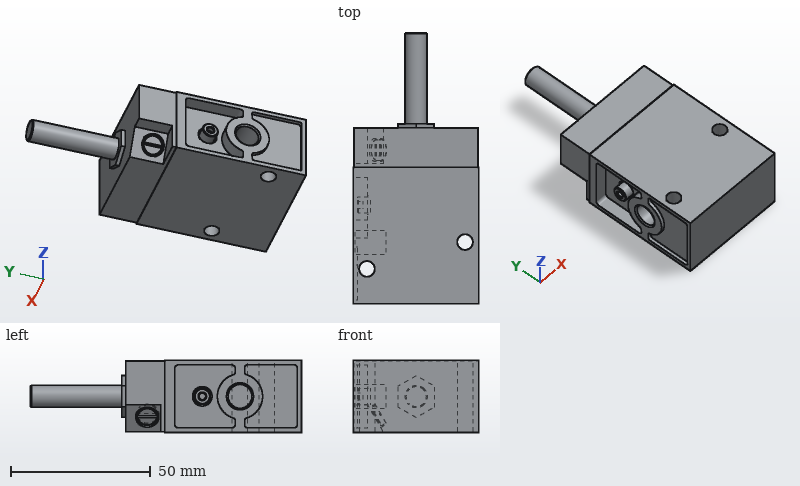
import cadquery as cq
import math

total_length = 97.0
body_width = 45.0
body_height = 26.0
body_length = 48.9
left_face = -body_width / 2

cap_inset = 0.3
cap_length = 14.1
cap_width = body_width - 2 * cap_inset
cap_height = body_height - 2 * cap_inset
cap_left_face = -cap_width / 2
cap_end = body_length + cap_length

collar_across_flats = 13.0
collar_length = 1.5
rod_diameter = 8.0
rod_end_chamfer = 0.4

mounting_hole_diameter = 5.5
mounting_hole_offset = 17.6
mounting_holes = [(-mounting_hole_offset, 12.5), (mounting_hole_offset, 22.1)]

port_y = 22.0
port_diameter = 8.5
port_mouth_diameter = 9.7
port_chamfer = (port_mouth_diameter - port_diameter) / 2
port_depth = 11.6
land_diameter = 16.2
rib_width = 3.3

pocket_height = 22.5
front_pocket_start = 1.6
front_pocket_depth = 1.5
rear_pocket_end = 45.4
rear_pocket_depth = 5.0
rear_floor = left_face + rear_pocket_depth
front_pocket_corner_radius = 1.0
rear_pocket_corner_radius = 1.3

pin_y = 35.5
pin_diameter = 5.8
pin_length = 3.5
pin_end_chamfer = 0.3
countersink_diameter = 7.0
countersink_depth = 1.2
pin_hole_diameter = 2.4
pin_hole_depth = 1.9
pin_hole_chamfer = 0.3

notch_start = 50.3
notch_top = -3.0
notch_tilt = 30.0
notch_ceiling_depth = 4.85
slope_top = cap_left_face + notch_ceiling_depth
screw_y = 55.2
screw_z = -7.5
screw_hole_diameter = 8.2
screw_head_diameter = 7.5
screw_head_chamfer = 0.4
screw_hole_depth = 2.4
screw_head_height = 2.1
slot_width = 0.9
slot_depth = 1.7


def block(x_size, y_start, y_end, z_size):
    """Block centred on X and Z, running from y_start to y_end."""
    return cq.Workplane("XZ", origin=(0, y_start, 0)).rect(x_size, z_size).extrude(y_start - y_end)


def left_cylinder(y, diameter, outer_x, length):
    """Cylinder along X at mid-height, running inward (+X) from outer_x."""
    return cq.Workplane("YZ", origin=(outer_x, y, 0)).circle(diameter / 2).extrude(length)


def left_cone(y, mouth_diameter, inner_diameter, outer_x, depth):
    """Cone along X at mid-height, going from mouth to inner diameter over depth."""
    return (
        cq.Workplane("YZ", origin=(outer_x, y, 0))
        .circle(mouth_diameter / 2)
        .workplane(offset=depth)
        .circle(inner_diameter / 2)
        .loft(combine=True)
    )


def pocket(y_start, y_end, depth, corner_radius):
    """Rounded pocket cutter in the left side, leaving the port land standing."""
    cutter = (
        cq.Workplane("YZ", origin=(left_face, (y_start + y_end) / 2, 0))
        .rect(y_end - y_start, pocket_height)
        .extrude(depth)
    )
    cutter = cutter.cut(left_cylinder(port_y, land_diameter, left_face, depth))
    return cutter.edges("|X").fillet(corner_radius)


def make_port():
    bore = left_cylinder(port_y, port_diameter, left_face, port_depth)
    return bore.union(left_cone(port_y, port_mouth_diameter, port_diameter, left_face, port_chamfer))


def make_pin():
    end_x = rear_floor - pin_length
    hole_mouth_diameter = pin_hole_diameter + 2 * pin_hole_chamfer
    pin = left_cylinder(pin_y, pin_diameter, end_x, pin_length + countersink_depth)
    pin = pin.faces("<X").chamfer(pin_end_chamfer)
    pin = pin.cut(left_cylinder(pin_y, pin_hole_diameter, end_x, pin_hole_depth))
    return pin.cut(left_cone(pin_y, hole_mouth_diameter, pin_hole_diameter, end_x, pin_hole_chamfer))


def make_collar():
    across_corners = collar_across_flats / math.cos(math.radians(30))
    return (
        cq.Workplane("XZ", origin=(0, cap_end, 0))
        .transformed(rotate=(0, 0, 90))
        .polygon(6, across_corners)
        .extrude(-collar_length)
    )


def make_rod():
    rod = cq.Workplane("XZ", origin=(0, cap_end, 0)).circle(rod_diameter / 2).extrude(cap_end - total_length)
    return rod.faces(">Y").chamfer(rod_end_chamfer)


def make_notch():
    drop = cap_height / 2 + notch_top
    run = drop * math.tan(math.radians(notch_tilt))
    return (
        cq.Workplane("XZ", origin=(0, notch_start, 0))
        .moveTo(cap_left_face, notch_top)
        .lineTo(slope_top, notch_top)
        .lineTo(slope_top + run, notch_top - drop)
        .lineTo(cap_left_face, notch_top - drop)
        .close()
        .extrude(notch_start - cap_end)
    )


def screw_plane(depth):
    """Plane square to the screw axis, at a depth below the sloping face."""
    tilt = math.radians(notch_tilt)
    screw_x = slope_top + (notch_top - screw_z) * math.tan(tilt)
    inward = (math.cos(tilt), 0, math.sin(tilt))
    origin = (screw_x + depth * inward[0], screw_y, screw_z + depth * inward[2])
    return cq.Workplane(cq.Plane(origin=origin, xDir=(0, 1, 0), normal=inward))


def make_screw_hole():
    return screw_plane(0).circle(screw_hole_diameter / 2).extrude(screw_hole_depth)


def make_screw_head():
    head = screw_plane(screw_hole_depth).circle(screw_head_diameter / 2).extrude(-screw_head_height)
    head_top = screw_plane(screw_hole_depth - screw_head_height)
    top_face = cq.selectors.NearestToPointSelector(head_top.plane.origin.toTuple())
    head = head.faces(top_face).chamfer(screw_head_chamfer)
    return head.cut(head_top.rect(screw_head_diameter, slot_width).extrude(slot_depth))


body = block(body_width, 0, body_length, body_height)
mounting_cutter = (
    cq.Workplane("XY")
    .pushPoints(mounting_holes)
    .circle(mounting_hole_diameter / 2)
    .extrude(body_height / 2, both=True)
)
body = body.cut(mounting_cutter)
front_pocket_end = port_y - rib_width / 2
rear_pocket_start = port_y + rib_width / 2
body = body.cut(pocket(front_pocket_start, front_pocket_end, front_pocket_depth, front_pocket_corner_radius))
body = body.cut(pocket(rear_pocket_start, rear_pocket_end, rear_pocket_depth, rear_pocket_corner_radius))
body = body.cut(left_cone(pin_y, countersink_diameter, pin_diameter, rear_floor, countersink_depth))
body = body.cut(make_port()).union(make_pin())

cap = block(cap_width, body_length, cap_end, cap_height)
cap = cap.cut(make_notch()).cut(make_screw_hole()).union(make_screw_head())

result = body.union(cap).union(make_collar()).union(make_rod())